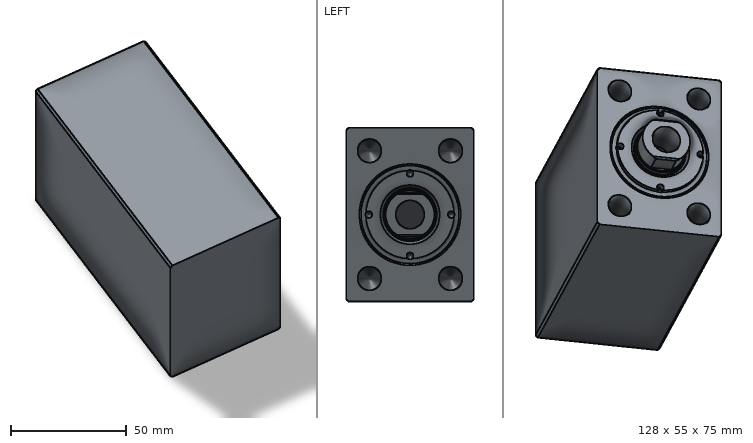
import cadquery as cq


OVERALL_LENGTH = 128.0
ROD_PROTRUSION = 13.0
BLOCK_LENGTH = OVERALL_LENGTH - ROD_PROTRUSION
BLOCK_WIDTH = 55.0
BLOCK_HEIGHT = 75.0
BLOCK_EDGE_CHAMFER = 1.0
BORE_MOUTH_CHAMFER = 0.8

MOUNT_HOLE_DIAMETER = 10.2
MOUNT_HOLE_DEPTH = 25.6
MOUNT_HOLE_TIP_LENGTH = 3.1
MOUNT_SPACING_Y = 35.0
MOUNT_SPACING_Z = 55.0

GLAND_DIAMETER = 42.2
GLAND_END = 20.0
COLLAR_DIAMETER = 38.0
COLLAR_PROTRUSION = 2.0
LEAD_IN_DIAMETER = 25.6
LEAD_IN_END_DIAMETER = 23.0
LEAD_IN_DEPTH = (LEAD_IN_DIAMETER - LEAD_IN_END_DIAMETER) / 2

SPANNER_HOLE_COUNT = 4
SPANNER_HOLE_DIAMETER = 3.0
SPANNER_CIRCLE_DIAMETER = 35.6
SPANNER_HOLE_DEPTH = 4.0
SPANNER_HOLE_TIP_LENGTH = 0.9

ROD_DIAMETER = 22.0
SHOULDER_X = -3.5
NECK_DIAMETER = 21.0
SHOULDER_TAPER_LENGTH = 0.4
FLATS_WIDTH = 19.0
FLATS_END_CHAMFER = 0.8
ROD_HOLE_DIAMETER = 12.3
ROD_HOLE_DEPTH = 20.0


def disc(diameter, x_start, x_end):
    """Cylinder on the X axis between two X positions."""
    return cq.Workplane("YZ", origin=(x_start, 0, 0)).circle(diameter / 2).extrude(x_end - x_start)


def cone(start_diameter, end_diameter, x_start, x_end):
    """Cone, full or cut short, on the X axis between two X positions."""
    solid = cq.Solid.makeCone(
        start_diameter / 2,
        end_diameter / 2,
        x_end - x_start,
        pnt=cq.Vector(x_start, 0, 0),
        dir=cq.Vector(1, 0, 0),
    )
    return cq.Workplane(solid)


def drilled_hole(diameter, depth, tip_length):
    """Blind hole with a conical tip, drilled along +X from the origin."""
    return disc(diameter, 0, depth).union(cone(diameter, 0, depth, depth + tip_length))


def make_block():
    block = (
        cq.Workplane("XY")
        .box(BLOCK_LENGTH, BLOCK_WIDTH, BLOCK_HEIGHT, centered=(False, True, True))
        .edges("|X")
        .chamfer(BLOCK_EDGE_CHAMFER)
    )
    mount_hole = drilled_hole(MOUNT_HOLE_DIAMETER, MOUNT_HOLE_DEPTH, MOUNT_HOLE_TIP_LENGTH)
    for side_y in (-1, 1):
        for side_z in (-1, 1):
            place = (0, side_y * MOUNT_SPACING_Y / 2, side_z * MOUNT_SPACING_Z / 2)
            block = block.cut(mount_hole.translate(place))

    block = block.cut(disc(GLAND_DIAMETER, 0, GLAND_END))
    mouth_diameter = GLAND_DIAMETER + 2 * BORE_MOUTH_CHAMFER
    return block.cut(cone(mouth_diameter, GLAND_DIAMETER, 0, BORE_MOUTH_CHAMFER))


def make_gland():
    gland = disc(GLAND_DIAMETER, 0, GLAND_END)
    gland = gland.union(disc(COLLAR_DIAMETER, -COLLAR_PROTRUSION, 0))

    gland = gland.cut(disc(ROD_DIAMETER, -COLLAR_PROTRUSION, GLAND_END))
    lead_in_end = LEAD_IN_DEPTH - COLLAR_PROTRUSION
    gland = gland.cut(cone(LEAD_IN_DIAMETER, LEAD_IN_END_DIAMETER, -COLLAR_PROTRUSION, lead_in_end))

    spanner_hole = drilled_hole(
        SPANNER_HOLE_DIAMETER, SPANNER_HOLE_DEPTH, SPANNER_HOLE_TIP_LENGTH
    ).translate((-COLLAR_PROTRUSION, SPANNER_CIRCLE_DIAMETER / 2, 0))
    for index in range(SPANNER_HOLE_COUNT):
        angle = index * 360 / SPANNER_HOLE_COUNT
        gland = gland.cut(spanner_hole.rotate((0, 0, 0), (1, 0, 0), angle))
    return gland


def make_rod():
    taper_end = SHOULDER_X + SHOULDER_TAPER_LENGTH
    taper = cone(NECK_DIAMETER, ROD_DIAMETER, SHOULDER_X, taper_end)
    shank = disc(ROD_DIAMETER, taper_end, GLAND_END).union(taper)

    neck_length = SHOULDER_X + ROD_PROTRUSION
    flats = (
        cq.Workplane("XY", origin=(-ROD_PROTRUSION, 0, 0))
        .box(neck_length, NECK_DIAMETER, FLATS_WIDTH, centered=(False, True, True))
        .faces("<X")
        .edges("|Y")
        .chamfer(FLATS_END_CHAMFER)
    )
    neck = disc(NECK_DIAMETER, -ROD_PROTRUSION, SHOULDER_X).intersect(flats)

    end_hole = disc(ROD_HOLE_DIAMETER, -ROD_PROTRUSION, ROD_HOLE_DEPTH - ROD_PROTRUSION)
    return shank.union(neck).cut(end_hole)


block = make_block()
gland = make_gland()
rod = make_rod()

result = cq.Compound.makeCompound([block.val(), gland.val(), rod.val()])